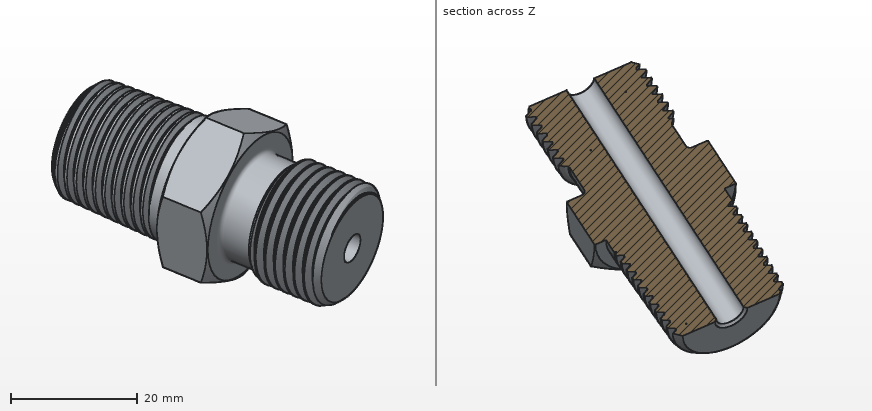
import cadquery as cq
import math

length = 50.8
taper_groove_end = 19.4
collar_start = 19.8
hex_start = 22.15
hex_end = 31.7
straight_thread_start = 37.2

hex_flats = 25.4
hex_corner_radius = hex_flats / math.sqrt(3)
hex_face_radius = 12.55
hex_chamfer_angle = 30.0
hex_cone_overrun = 0.5

collar_radius = 10.65
neck_radius = 9.15
neck_fillet = 0.75

bore_radius = 2.45
bore_chamfer = 0.45

pitch = 1.815
half_angle = 27.5
taper_slope = 1 / 32
taper_depth = 1.0
taper_end_radius = 8.7
taper_root_flat = 0.25
taper_crest_x = 3.1
straight_crest_radius = 10.5
straight_depth = 1.25
straight_root_flat = 0.2
straight_crest_x = 38.8
groove_overrun = 0.1
lead_turns = 2


def taper_crest_radius(x):
    return collar_radius - taper_slope * (collar_start - x)


def make_blank():
    """Turned body without the hexagon: tapered end, collar, neck, straight end."""
    lead_in = (taper_crest_radius(0) - taper_end_radius) / (1 - taper_slope)
    straight_chamfer = straight_crest_radius - neck_radius
    arc_offset = neck_fillet * (1 - math.sqrt(0.5))
    return (
        cq.Workplane("XY")
        .moveTo(0, 0)
        .lineTo(0, taper_end_radius)
        .lineTo(lead_in, taper_end_radius + lead_in)
        .lineTo(collar_start, collar_radius)
        .lineTo(hex_end, collar_radius)
        .lineTo(hex_end, neck_radius + neck_fillet)
        .threePointArc(
            (hex_end + arc_offset, neck_radius + arc_offset),
            (hex_end + neck_fillet, neck_radius),
        )
        .lineTo(straight_thread_start, neck_radius)
        .lineTo(straight_thread_start + straight_chamfer, straight_crest_radius)
        .lineTo(length - straight_chamfer, straight_crest_radius)
        .lineTo(length, neck_radius)
        .lineTo(length, 0)
        .close()
        .revolve(360, (0, 0, 0), (1, 0, 0))
    )


def make_hexagon():
    """Hexagon with corners at +Z and -Z, both ends chamfered by a cone."""
    width = hex_end - hex_start
    prism = (
        cq.Workplane("YZ", origin=(hex_start, 0, 0))
        .polygon(6, 2 * hex_corner_radius)
        .extrude(width)
        .rotate((0, 0, 0), (1, 0, 0), 90)
    )
    outer_radius = hex_corner_radius + hex_cone_overrun
    chamfer_width = (outer_radius - hex_face_radius) * math.tan(math.radians(hex_chamfer_angle))
    cones = (
        cq.Workplane("XY")
        .moveTo(hex_start, 0)
        .lineTo(hex_start, hex_face_radius)
        .lineTo(hex_start + chamfer_width, outer_radius)
        .lineTo(hex_end - chamfer_width, outer_radius)
        .lineTo(hex_end, hex_face_radius)
        .lineTo(hex_end, 0)
        .close()
        .revolve(360, (0, 0, 0), (1, 0, 0))
    )
    return prism.intersect(cones)


def make_groove(start_x, turns, root_radius, depth, root_flat, slope):
    """Right-hand V groove cutter along X; the groove centre starts at start_x on the -Z side."""
    height = depth + groove_overrun
    root_half = root_flat / 2
    top_half = root_half + height * math.tan(math.radians(half_angle))
    top_radius = root_radius + height
    cone_angle = math.degrees(math.atan(slope)) if slope else 360

    def helix(offset, radius):
        edge = cq.Wire.makeHelix(pitch, turns * pitch, radius + slope * offset, angle=cone_angle)
        return edge.translate(cq.Vector(0, 0, offset))

    edges = [
        helix(-root_half, root_radius),
        helix(root_half, root_radius),
        helix(top_half, top_radius),
        helix(-top_half, top_radius),
    ]
    next_edges = edges[1:] + edges[:1]
    faces = [cq.Face.makeRuledSurface(a, b) for a, b in zip(edges, next_edges)]
    for end in (0, 1):
        corners = [edge.positionAt(end) for edge in edges]
        faces.append(cq.Face.makeFromWires(cq.Wire.makePolygon(corners, close=True)))
    solid = cq.Solid.makeSolid(cq.Shell.makeShell(faces)).fix()
    return (
        cq.Workplane(solid)
        .rotate((0, 0, 0), (0, 1, 0), 90)
        .translate((start_x, 0, 0))
    )


taper_groove_x = taper_crest_x - lead_turns * pitch
taper_turns = math.ceil((taper_groove_end - taper_groove_x) / pitch) + 1
taper_groove = make_groove(
    taper_groove_x, taper_turns, taper_crest_radius(taper_groove_x) - taper_depth,
    taper_depth, taper_root_flat, taper_slope,
)
taper_limit_start = -lead_turns * pitch
taper_limit = (
    cq.Workplane("YZ", origin=(taper_limit_start, 0, 0))
    .circle(hex_corner_radius)
    .extrude(taper_groove_end - taper_limit_start)
)
straight_groove_x = straight_crest_x - lead_turns * pitch
straight_turns = math.ceil((length - straight_groove_x) / pitch)
straight_groove = make_groove(
    straight_groove_x, straight_turns, straight_crest_radius - straight_depth,
    straight_depth, straight_root_flat, 0,
)

bore = (
    cq.Workplane("XY")
    .moveTo(0, 0)
    .lineTo(0, bore_radius + bore_chamfer)
    .lineTo(bore_chamfer, bore_radius)
    .lineTo(length, bore_radius)
    .lineTo(length, 0)
    .close()
    .revolve(360, (0, 0, 0), (1, 0, 0))
)

result = (
    make_blank()
    .cut(taper_groove.intersect(taper_limit))
    .cut(straight_groove)
    .union(make_hexagon())
    .cut(bore)
)